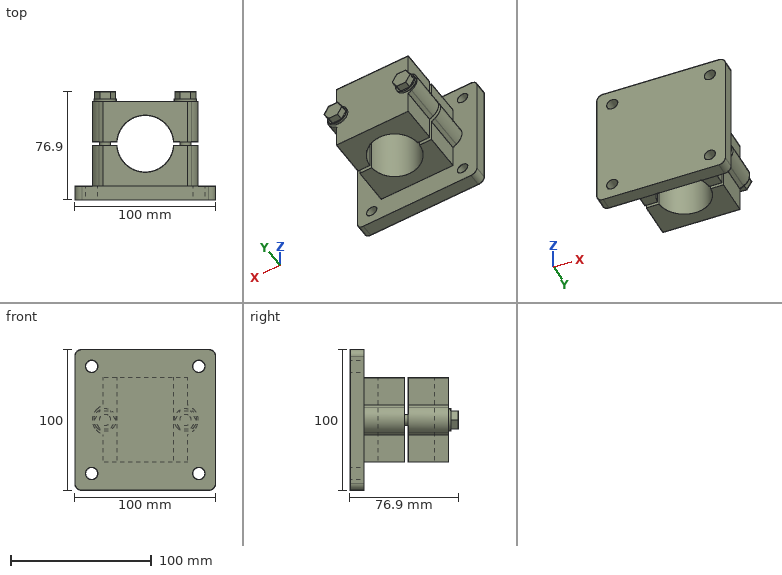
import cadquery as cq
import math


PLATE_SIZE = 100.0
PLATE_THICKNESS = 10.0
PLATE_CORNER_RADIUS = 5.0
MOUNT_HOLE_DIAMETER = 8.5
MOUNT_HOLE_SPACING = 76.0

BLOCK_SIZE = 60.0
BORE_DIAMETER = 40.2
SPLIT_GAP = 2.5

RIB_OVERALL_WIDTH = 75.0
RIB_RADIUS = 10.65
RIB_ROOT_HALF_HEIGHT = 10.7

BOLT_SPACING = 57.0
SHANK_DIAMETER = 8.0
WASHER_DIAMETER = 16.0
WASHER_THICKNESS = 1.6
HEAD_ACROSS_FLATS = 13.0
HEAD_HEIGHT = 5.3

BLOCK_HALF = BLOCK_SIZE / 2
PLATE_BACK_Y = -BLOCK_HALF - PLATE_THICKNESS
HEAD_ACROSS_CORNERS = HEAD_ACROSS_FLATS / math.cos(math.pi / 6)
RIB_TIP_X = RIB_OVERALL_WIDTH / 2
RIB_CENTER_X = RIB_TIP_X - RIB_RADIUS


def plane_at(y):
    """Sketch plane at height y with local X along -X, local Y along Z, extruding towards +Y."""
    return cq.Workplane(cq.Plane(origin=(0, y, 0), xDir=(-1, 0, 0), normal=(0, 1, 0)))


def base_plate():
    plate = plane_at(PLATE_BACK_Y).rect(PLATE_SIZE, PLATE_SIZE).extrude(PLATE_THICKNESS)
    plate = plate.edges("|Y").fillet(PLATE_CORNER_RADIUS)
    holes = (
        plane_at(PLATE_BACK_Y)
        .rect(MOUNT_HOLE_SPACING, MOUNT_HOLE_SPACING, forConstruction=True)
        .vertices()
        .circle(MOUNT_HOLE_DIAMETER / 2)
        .extrude(PLATE_THICKNESS)
    )
    return plate.cut(holes)


def bolt_rib(side):
    """Round-nosed rib whose short flats run tangent to the nose and end on the block wall."""
    root_dx = BLOCK_HALF - RIB_CENTER_X
    root_distance = math.hypot(root_dx, RIB_ROOT_HALF_HEIGHT)
    root_angle = math.atan2(RIB_ROOT_HALF_HEIGHT, root_dx)
    tangent_angle = root_angle - math.acos(RIB_RADIUS / root_distance)
    tangent_x = RIB_CENTER_X + RIB_RADIUS * math.cos(tangent_angle)
    tangent_z = RIB_RADIUS * math.sin(tangent_angle)
    return (
        plane_at(-BLOCK_HALF)
        .moveTo(side * BLOCK_HALF, RIB_ROOT_HALF_HEIGHT)
        .lineTo(side * tangent_x, tangent_z)
        .threePointArc((side * RIB_TIP_X, 0), (side * tangent_x, -tangent_z))
        .lineTo(side * BLOCK_HALF, -RIB_ROOT_HALF_HEIGHT)
        .close()
        .extrude(BLOCK_SIZE)
    )


def clamp_block():
    block = plane_at(-BLOCK_HALF).rect(BLOCK_SIZE, BLOCK_SIZE).extrude(BLOCK_SIZE)
    for side in (-1, 1):
        block = block.union(bolt_rib(side))
    bore = cq.Workplane("XY").circle(BORE_DIAMETER / 2).extrude(BLOCK_HALF, both=True)
    split = cq.Workplane("XY").box(RIB_OVERALL_WIDTH, SPLIT_GAP, BLOCK_SIZE)
    return block.cut(bore).cut(split)


def clamp_bolt(x):
    """Bolt with washer; the head has two corners along X."""
    shank = plane_at(-BLOCK_HALF).circle(SHANK_DIAMETER / 2).extrude(BLOCK_SIZE)
    washer = plane_at(BLOCK_HALF).circle(WASHER_DIAMETER / 2).extrude(WASHER_THICKNESS)
    head = plane_at(BLOCK_HALF + WASHER_THICKNESS).polygon(6, HEAD_ACROSS_CORNERS).extrude(HEAD_HEIGHT)
    return shank.union(washer).union(head).translate((x, 0, 0))


result = base_plate().union(clamp_block())
for bolt_x in (-BOLT_SPACING / 2, BOLT_SPACING / 2):
    result = result.union(clamp_bolt(bolt_x))